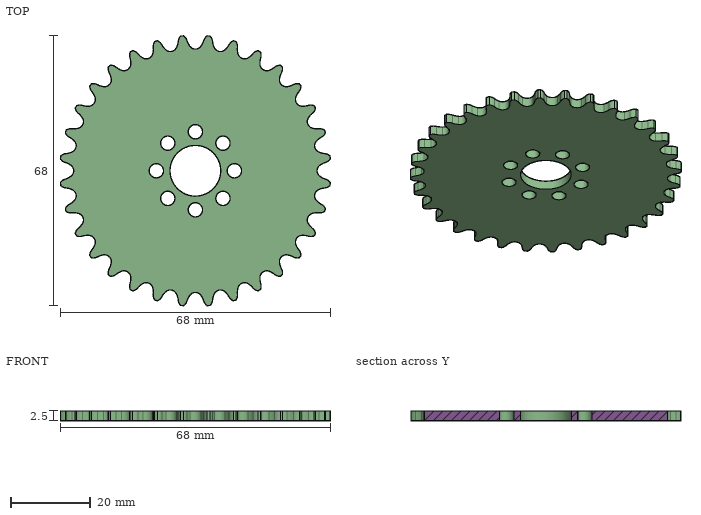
import cadquery as cq
import math

outer_width = 68.0
thickness = 2.5

tooth_count = 32
pitch_diameter = 64.75
seat_radius = 1.7
work_radius = 4.55
topping_radius = 2.2
seat_angle = math.radians(37)
work_angle = math.radians(20.5)

bore_diameter = 12.7
bolt_count = 8
bolt_hole_diameter = 3.55
bolt_circle_diameter = 19.65

tooth_step = 2 * math.pi / tooth_count
pitch_radius = pitch_diameter / 2


def polar(centre, radius, angle):
    return (centre[0] + radius * math.cos(angle), centre[1] + radius * math.sin(angle))


def rotated(point, angle):
    return polar((0, 0), math.hypot(*point), math.atan2(point[1], point[0]) + angle)


def mirrored(point):
    return (point[0], -point[1])


def flank_points():
    """Upper half of the gap centred on +X, from the seat to the tooth tip.

    The work arc is tangent to the roller seat, and the topping arc to the work arc.
    """
    seat_normal = math.pi / 2 + seat_angle
    flank_normal = seat_normal - work_angle

    seat_end = polar((pitch_radius, 0), seat_radius, seat_normal)
    work_centre = polar(seat_end, -work_radius, seat_normal)
    work_middle = polar(work_centre, work_radius, seat_normal - work_angle / 2)
    work_end = polar(work_centre, work_radius, flank_normal)

    topping_centre = polar(work_end, topping_radius, flank_normal)
    start_angle = flank_normal - math.pi
    end_angle = -math.acos((outer_width / 2 - topping_centre[0]) / topping_radius)
    topping_middle = polar(topping_centre, topping_radius, (start_angle + end_angle) / 2)
    tip_corner = polar(topping_centre, topping_radius, end_angle)

    return seat_end, work_middle, work_end, topping_middle, tip_corner


def sprocket_blank():
    seat_end, work_middle, work_end, topping_middle, tip_corner = flank_points()
    seat_bottom = (pitch_radius - seat_radius, 0)
    tip_middle = polar((0, 0), math.hypot(*tip_corner), tooth_step / 2)
    next_tip_corner = rotated(mirrored(tip_corner), tooth_step)

    gap_arcs = [
        (mirrored(topping_middle), mirrored(work_end)),
        (mirrored(work_middle), mirrored(seat_end)),
        (seat_bottom, seat_end),
        (work_middle, work_end),
        (topping_middle, tip_corner),
        (tip_middle, next_tip_corner),
    ]

    outline = cq.Workplane("XY").moveTo(*mirrored(tip_corner))
    for tooth in range(tooth_count):
        angle = tooth * tooth_step
        for middle, end in gap_arcs:
            outline = outline.threePointArc(rotated(middle, angle), rotated(end, angle))
    return outline.close().extrude(thickness)


def through_holes():
    bore = cq.Workplane("XY").circle(bore_diameter / 2).extrude(thickness)
    bolt_holes = (
        cq.Workplane("XY")
        .polarArray(bolt_circle_diameter / 2, 0, 360, bolt_count)
        .circle(bolt_hole_diameter / 2)
        .extrude(thickness)
    )
    return bore.add(bolt_holes).combine()


sprocket = sprocket_blank().cut(through_holes())
result = cq.Workplane(sprocket.solids().val())